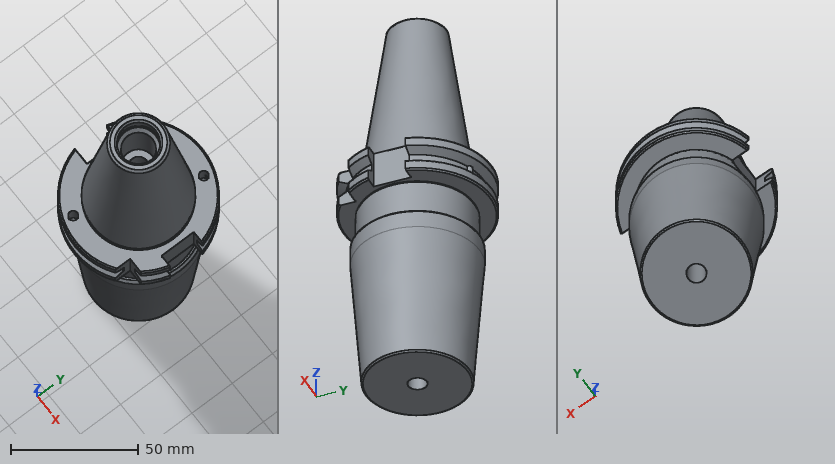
import cadquery as cq
import math


total_height = 168.4
gauge_z = 100.0
flange_top_z = 96.8
flange_bottom_z = 81.0
collar_top_z = 65.5
collar_bottom_z = 57.1

gauge_radius = 44.5 / 2
flange_radius = 63.5 / 2
neck_radius = 48.8 / 2
collar_radius = 53.0 / 2
nose_radius = 44.3 / 2

taper_rate = 7 / 24
taper_top_radius = gauge_radius - taper_rate / 2 * (total_height - gauge_z)
taper_top_chamfer = 1.0
taper_overrun = 1.3
taper_end_z = gauge_z - taper_overrun
taper_end_radius = gauge_radius + taper_rate / 2 * taper_overrun
taper_relief_depth = 0.5

flange_chamfer = 0.7
collar_chamfer = 1.2
nose_chamfer = 0.7
neck_relief_depth = 0.7
neck_relief_height = 1.0

groove_z = 88.9
groove_floor_radius = 56.5 / 2
groove_floor_width = 3.0
groove_mouth_width = 7.4

slot_width = 16.0
slot_bottom_z = 72.7
left_slot_distance = 22.7
right_slot_distance = 25.1
notch_distance = 18.5
coolant_hole_radius = 2.0
coolant_hole_circle_radius = 27.0
coolant_hole_angle = 70.0
coolant_hole_bottom_z = 87.2
drill_point_angle = 118.0

bore_mouth_radius = 9.5
bore_mouth_chamfer = 0.93
pilot_radius = 17.0 / 2
pilot_depth = 5.9
pilot_relief_width = 1.7
pilot_relief_depth = 0.3
thread_radius = 13.8 / 2
thread_lead_angle = 45.0
thread_depth = 32.0
through_radius = 7.9 / 2


def revolve_profile(profile):
    """Full turn about Z of a closed list of (radius, height) points."""
    return cq.Workplane("XZ").polyline(profile).close().revolve(360, (0, 0, 0), (0, 1, 0))


def make_body():
    floor_half = groove_floor_width / 2
    mouth_half = groove_mouth_width / 2
    flange_face_radius = flange_radius - flange_chamfer
    taper_relief_radius = taper_end_radius - taper_relief_depth
    neck_relief_radius = neck_radius - neck_relief_depth
    neck_relief_z = flange_bottom_z - neck_relief_height
    profile = [
        (0, 0),
        (nose_radius - nose_chamfer, 0),
        (nose_radius, nose_chamfer),
        (collar_radius, collar_bottom_z),
        (collar_radius, collar_top_z - collar_chamfer),
        (collar_radius - collar_chamfer, collar_top_z),
        (neck_radius, collar_top_z),
        (neck_radius, neck_relief_z),
        (neck_relief_radius, neck_relief_z + neck_relief_depth),
        (neck_relief_radius, flange_bottom_z),
        (flange_face_radius, flange_bottom_z),
        (flange_radius, flange_bottom_z + flange_chamfer),
        (flange_radius, groove_z - mouth_half),
        (groove_floor_radius, groove_z - floor_half),
        (groove_floor_radius, groove_z + floor_half),
        (flange_radius, groove_z + mouth_half),
        (flange_radius, flange_top_z - flange_chamfer),
        (flange_face_radius, flange_top_z),
        (taper_end_radius, flange_top_z),
        (taper_relief_radius, flange_top_z + taper_relief_depth),
        (taper_relief_radius, taper_end_z - taper_relief_depth),
        (taper_end_radius, taper_end_z),
        (taper_top_radius + taper_rate / 2 * taper_top_chamfer, total_height - taper_top_chamfer),
        (taper_top_radius - taper_top_chamfer, total_height),
        (0, total_height),
    ]
    return revolve_profile(profile)


def make_bore():
    pilot_bottom_z = total_height - pilot_depth
    pilot_relief_radius = pilot_radius + pilot_relief_depth
    pilot_relief_bottom_z = pilot_bottom_z - pilot_relief_width
    lead_length = (pilot_radius - thread_radius) / math.tan(math.radians(thread_lead_angle))
    profile = [
        (0, 0),
        (through_radius, 0),
        (through_radius, total_height - thread_depth),
        (thread_radius, total_height - thread_depth),
        (thread_radius, pilot_relief_bottom_z - lead_length),
        (pilot_radius, pilot_relief_bottom_z),
        (pilot_relief_radius, pilot_relief_bottom_z),
        (pilot_relief_radius, pilot_bottom_z),
        (pilot_radius, pilot_bottom_z),
        (pilot_radius, total_height - bore_mouth_chamfer),
        (bore_mouth_radius, total_height),
        (0, total_height),
    ]
    return revolve_profile(profile)


def make_drive_slot(side, floor_distance):
    """Round-ended slot cutter lying outside floor_distance; side is -1 for -X and +1 for +X."""
    slot_radius = slot_width / 2
    end_center_z = slot_bottom_z + slot_radius
    outline = (
        cq.Workplane("YZ", origin=(side * floor_distance, 0, 0))
        .moveTo(-slot_radius, flange_top_z)
        .lineTo(-slot_radius, end_center_z)
        .threePointArc((0, slot_bottom_z), (slot_radius, end_center_z))
        .lineTo(slot_radius, flange_top_z)
        .close()
    )
    return outline.extrude(side * flange_radius)


def make_notch():
    """Square corner cut through the whole flange height on the +X, -Y side."""
    flange_height = flange_top_z - flange_bottom_z
    corner = (notch_distance, -notch_distance - flange_radius, flange_bottom_z)
    return cq.Workplane("XY").box(flange_radius, flange_radius, flange_height, centered=False).translate(corner)


def make_coolant_hole(angle):
    """Drilled hole down from the flange top face that breaks through the groove floor."""
    tip_length = coolant_hole_radius / math.tan(math.radians(drill_point_angle / 2))
    profile = [
        (0, coolant_hole_bottom_z - tip_length),
        (coolant_hole_radius, coolant_hole_bottom_z),
        (coolant_hole_radius, flange_top_z),
        (0, flange_top_z),
    ]
    x = coolant_hole_circle_radius * math.cos(math.radians(angle))
    y = coolant_hole_circle_radius * math.sin(math.radians(angle))
    return revolve_profile(profile).translate((x, y, 0))


result = make_body().cut(make_bore())
result = result.cut(make_drive_slot(-1, left_slot_distance))
result = result.cut(make_drive_slot(1, right_slot_distance))
result = result.cut(make_notch())
for hole_angle in (coolant_hole_angle, coolant_hole_angle + 180):
    result = result.cut(make_coolant_hole(hole_angle))